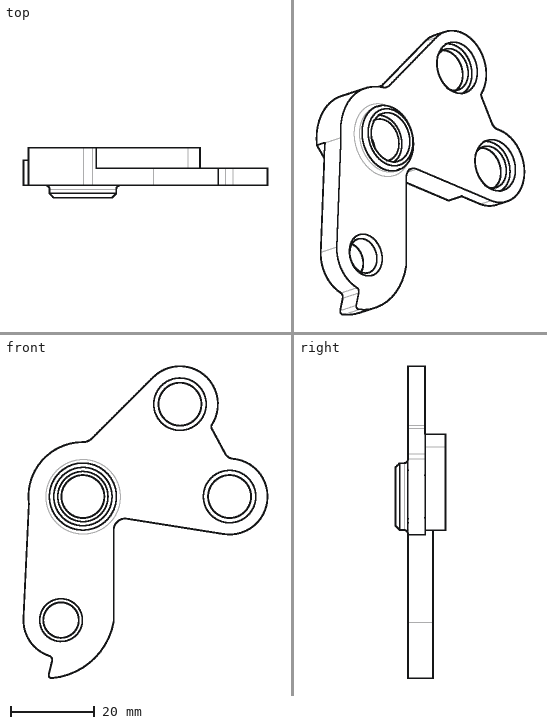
import cadquery as cq
import math

main_center = (0, 0)
top_center = (23.15, 22.0)
side_center = (35.0, 0)
lower_center = (-5.2, -29.5)

main_radius = 13.0
bolt_lobe_radius = 9.1
lower_lobe_radius = 9.0
shoulder_angle = 135
underside_angle = 261
leg_left_angle = 177.3
leg_left_top = -1.7
leg_right_x = 7.4
lobe_bridge_offset = 3.95
hook_arc_top = (leg_right_x, -29.9)
hook_tip = (-8.4, -43.4)
hook_arc_radius = 16.5
notch_x = -7.15
shoulder_fillet = 3.0
armpit_fillet = 2.7
top_bridge_fillet = 0.75
side_bridge_fillet = 2.2
notch_fillet = 1.0
hook_tip_fillet = 0.75

plate_thickness = 4.1
leg_thickness = 6.0
block_thickness = 9.0

block_top_z = 14.9
block_right_x = 28.0
block_corner_fillet = 3.0
block_bottom_z = -6.8
block_bottom_left_x = -8.8

boss_diameter = 16.0
boss_height = 3.0
boss_chamfer = 1.05
boss_root_fillet = 0.9
bore_diameter = 10.2
boss_counterbore_diameter = 12.0
boss_counterbore_depth = 3.0
bolt_counterbore_diameter = 12.5
bolt_counterbore_depth = 2.0
lower_hole_diameter = 8.4
lower_countersink_diameter = 10.2

reach = 74.4
margin = 3.7


def on_circle(center, radius, angle):
    a = math.radians(angle)
    return (center[0] + radius * math.cos(a), center[1] + radius * math.sin(a))


def angle_to(center, point):
    return math.degrees(math.atan2(point[1] - center[1], point[0] - center[0])) % 360


def front_plane(y):
    """XZ plane at depth y; extrusion runs toward -Y."""
    return cq.Workplane("XZ", origin=(0, y, 0))


def cylinder(center, diameter, y_start, y_end):
    return front_plane(y_end).center(*center).circle(diameter / 2).extrude(y_end - y_start)


leg_left_low = on_circle(lower_center, lower_lobe_radius, leg_left_angle)
leg_left_high = (-math.sqrt(main_radius**2 - leg_left_top**2), leg_left_top)

shoulder_high = on_circle(top_center, bolt_lobe_radius, shoulder_angle)
shoulder_normal = math.radians(shoulder_angle)
shoulder_distance = (shoulder_high[0] * math.cos(shoulder_normal)
                     + shoulder_high[1] * math.sin(shoulder_normal))
shoulder_low = on_circle(
    main_center, main_radius,
    shoulder_angle - math.degrees(math.acos(shoulder_distance / main_radius)))

bridge_angle = angle_to(top_center, side_center)
bridge_half_angle = math.degrees(math.asin(lobe_bridge_offset / bolt_lobe_radius))
bridge_top = on_circle(top_center, bolt_lobe_radius, bridge_angle + bridge_half_angle)
bridge_side = on_circle(side_center, bolt_lobe_radius, bridge_angle + 180 - bridge_half_angle)

underside_right = on_circle(side_center, bolt_lobe_radius, underside_angle)
underside_slope = -1 / math.tan(math.radians(underside_angle))
armpit = (leg_right_x, underside_right[1] + underside_slope * (leg_right_x - underside_right[0]))

notch_z = lower_center[1] - math.sqrt(lower_lobe_radius**2 - (notch_x - lower_center[0])**2)
notch = (notch_x, notch_z)


def outline_prism():
    main_mid = on_circle(main_center, main_radius, 135)
    top_mid = on_circle(top_center, bolt_lobe_radius, 45)
    lower_mid = on_circle(lower_center, lower_lobe_radius, 220)
    side_mid = on_circle(side_center, bolt_lobe_radius, 0)
    prism = (
        front_plane(block_thickness)
        .moveTo(*leg_left_low)
        .lineTo(*leg_left_high)
        .threePointArc(main_mid, shoulder_low)
        .lineTo(*shoulder_high)
        .threePointArc(top_mid, bridge_top)
        .lineTo(*bridge_side)
        .threePointArc(side_mid, underside_right)
        .lineTo(*armpit)
        .lineTo(*hook_arc_top)
        .radiusArc(hook_tip, hook_arc_radius)
        .lineTo(*notch)
        .threePointArc(lower_mid, leg_left_low)
        .close()
        .extrude(block_thickness)
    )
    corner_fillets = [
        (shoulder_low, shoulder_fillet),
        (bridge_top, top_bridge_fillet),
        (bridge_side, side_bridge_fillet),
        (armpit, armpit_fillet),
        (notch, notch_fillet),
        (hook_tip, hook_tip_fillet),
    ]
    for (x, z), radius in corner_fillets:
        corner = cq.selectors.NearestToPointSelector((x, block_thickness / 2, z))
        prism = prism.edges("|Y").edges(corner).fillet(radius)
    return prism


def plate_relief():
    """Material behind the bolt plate, outside the rear block."""
    depth = block_thickness - plate_thickness
    behind = front_plane(block_thickness).rect(2 * reach, 2 * reach).extrude(depth)
    block = (
        front_plane(block_thickness)
        .moveTo(block_right_x - reach, block_top_z - reach)
        .lineTo(block_right_x, block_top_z - reach)
        .lineTo(block_right_x, block_top_z - block_corner_fillet)
        .radiusArc((block_right_x - block_corner_fillet, block_top_z), -block_corner_fillet)
        .lineTo(block_right_x - reach, block_top_z)
        .close()
        .extrude(depth)
    )
    return behind.cut(block)


def leg_relief():
    """Material behind the leg, below the rear block."""
    left = leg_left_low[0] - margin
    low = hook_tip[1] - margin
    right = leg_right_x + armpit_fillet / 2
    return (
        front_plane(block_thickness)
        .polyline([(left, leg_left_top), leg_left_high,
                   (block_bottom_left_x, block_bottom_z), (right, block_bottom_z),
                   (right, low), (left, low)])
        .close()
        .extrude(block_thickness - leg_thickness)
    )


def boss():
    """Revolved boss with a concave root and a chamfered rim."""
    r = boss_diameter / 2
    f = boss_root_fillet
    root_mid = (r + f * (1 - math.sqrt(0.5)), -f * (1 - math.sqrt(0.5)))
    return (
        cq.Workplane("XY")
        .moveTo(0, leg_thickness / 2)
        .lineTo(r, leg_thickness / 2)
        .lineTo(r, 0)
        .lineTo(r + f, 0)
        .threePointArc(root_mid, (r, -f))
        .lineTo(r, boss_chamfer - boss_height)
        .lineTo(r - boss_chamfer, -boss_height)
        .lineTo(0, -boss_height)
        .close()
        .revolve(360, (0, 0, 0), (0, 1, 0))
    )


def lower_hole():
    hole = cylinder(lower_center, lower_hole_diameter, 0, block_thickness)
    depth = (lower_countersink_diameter - lower_hole_diameter) / 2
    countersink = (
        front_plane(0).center(*lower_center).circle(lower_countersink_diameter / 2)
        .extrude(-depth, taper=45)
    )
    return hole.union(countersink)


result = outline_prism().cut(plate_relief()).cut(leg_relief()).union(boss())

result = result.cut(cylinder(main_center, bore_diameter, -boss_height, block_thickness))
result = result.cut(cylinder(main_center, boss_counterbore_diameter, -boss_height,
                             boss_counterbore_depth - boss_height))
for center in (top_center, side_center):
    result = result.cut(cylinder(center, bore_diameter, 0, block_thickness))
    result = result.cut(cylinder(center, bolt_counterbore_diameter, 0, bolt_counterbore_depth))
result = result.cut(lower_hole())